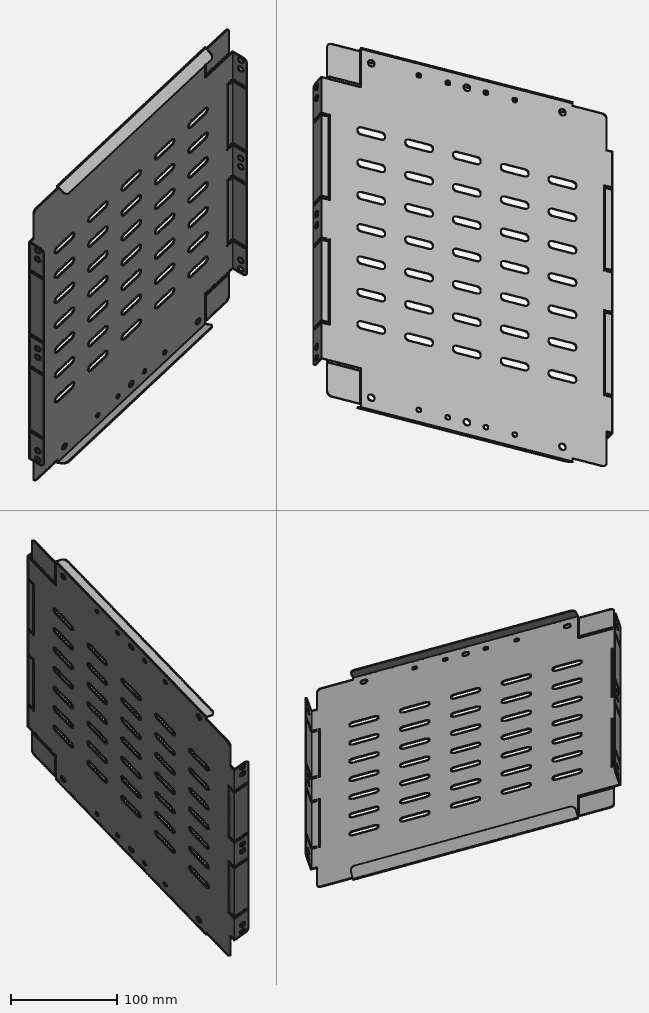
import cadquery as cq
import math

HEIGHT = 399.0
WIDTH = 305.5
DEPTH = 17.5
SHEET = 1.0
CORNER_RADIUS = 4.8

FLANGE_HEIGHT = 311.0
EAR_WIDTH = 293.0
EAR_HEIGHT = 390.0

LIP_WIDTH = 222.0
LIP_REACH = 11.5
LIP_SLOPE = 30

SLOT_COLUMNS = 5
SLOT_ROWS = 7
SLOT_SPAN_Y = 200.3
SLOT_SPAN_Z = 214.5
SLOT_LENGTH = 29.0
SLOT_HEIGHT = 8.0

PLATE_HOLE_Z = 185.0
LARGE_HOLE_DIAMETER = 6.8
LARGE_HOLE_Y = (-100.0, 0, 100.0)
SMALL_HOLE_DIAMETER = 4.8
SMALL_HOLE_Y = (-50.3, -20.0, 20.0, 50.3)

FLANGE_HOLE_X = 10.5
FLANGE_HOLE_DIAMETER = 6.5
FLANGE_HOLE_PITCH = 12.5
FLANGE_PAIR_Z = (-143.5, 3.0, 144.0)

CUT_WIDTH = 2.5
FINE_CUT_WIDTH = 1.0
KNOCKOUT_Z = 69.0
KNOCKOUT_LENGTH = 94.0
KNOCKOUT_INNER_Y = 143.5
KNOCKOUT_BRIDGE = 2.0

EAR_BRIDGE = 2.0
EAR_CUT_WIDTH = 2.8


def box(x_range, y_range, z_range):
    """Axis-aligned block spanning the given (low, high) ranges."""
    lows, highs = zip(x_range, y_range, z_range)
    sizes = [high - low for low, high in zip(lows, highs)]
    return cq.Workplane("XY").box(*sizes, centered=False).translate(lows)


def with_mirror(shape, plane):
    return shape.union(shape.mirror(plane))


def flanged_channel():
    """Middle of the panel: plate with a folded flange on each side."""
    half_width = WIDTH / 2
    half_inside = half_width - SHEET
    z_range = (-FLANGE_HEIGHT / 2, FLANGE_HEIGHT / 2)
    outside = box((0, DEPTH), (-half_width, half_width), z_range)
    inside = box((SHEET, DEPTH), (-half_inside, half_inside), z_range)
    return outside.cut(inside).edges("|Y and >X").fillet(CORNER_RADIUS)


def ears():
    """Narrower plate whose corners stand above and below the flanges."""
    sheet = cq.Workplane("YZ").rect(EAR_WIDTH, EAR_HEIGHT).extrude(SHEET)
    return sheet.edges("|X").fillet(CORNER_RADIUS)


def lip():
    """Top strip of the plate, bent over into a lip that slopes down towards +X."""
    slope = math.radians(LIP_SLOPE)
    offset_x = SHEET * math.sin(slope)
    offset_z = SHEET * math.cos(slope)
    root_z = FLANGE_HEIGHT / 2
    fold_z = HEIGHT / 2 - offset_z
    tip_z = HEIGHT / 2 - (LIP_REACH - offset_x) * math.tan(slope)
    inner_fold_z = fold_z - SHEET * math.tan(slope)
    outline = [
        (0, root_z),
        (0, fold_z),
        (offset_x, HEIGHT / 2),
        (LIP_REACH, tip_z),
        (LIP_REACH - offset_x, tip_z - offset_z),
        (SHEET, inner_fold_z),
        (SHEET, root_z),
    ]
    profile = cq.Workplane("XZ").polyline(outline).close()
    body = profile.extrude(LIP_WIDTH / 2, both=True)
    return body.faces(">X").edges("not |Y").fillet(CORNER_RADIUS)


def ventilation_slots():
    pitch_y = SLOT_SPAN_Y / (SLOT_COLUMNS - 1)
    pitch_z = SLOT_SPAN_Z / (SLOT_ROWS - 1)
    grid = cq.Workplane("YZ").rarray(pitch_y, pitch_z, SLOT_COLUMNS, SLOT_ROWS)
    return grid.slot2D(SLOT_LENGTH, SLOT_HEIGHT).extrude(SHEET)


def plate_holes(y_positions, diameter):
    points = [(y, z) for y in y_positions for z in (-PLATE_HOLE_Z, PLATE_HOLE_Z)]
    return cq.Workplane("YZ").pushPoints(points).circle(diameter / 2).extrude(SHEET)


def flange_holes():
    half_pitch = FLANGE_HOLE_PITCH / 2
    points = [(FLANGE_HOLE_X, z + step) for z in FLANGE_PAIR_Z for step in (-half_pitch, half_pitch)]
    drills = cq.Workplane("XZ").pushPoints(points).circle(FLANGE_HOLE_DIAMETER / 2)
    return drills.extrude(WIDTH / 2, both=True)


def knockout_cuts():
    """Cuts around the flange knock-out on the +Y, +Z side."""
    z_low = KNOCKOUT_Z - KNOCKOUT_LENGTH / 2
    z_high = KNOCKOUT_Z + KNOCKOUT_LENGTH / 2
    fine_cut_end = KNOCKOUT_INNER_Y + FINE_CUT_WIDTH
    cuts = box((0, SHEET), (KNOCKOUT_INNER_Y, fine_cut_end), (z_low, z_high))
    x_range = (0, DEPTH - KNOCKOUT_BRIDGE)
    y_range = (fine_cut_end + KNOCKOUT_BRIDGE, WIDTH / 2)
    for z in (z_low, z_high - CUT_WIDTH):
        cuts = cuts.union(box(x_range, y_range, (z, z + CUT_WIDTH)))
    return cuts


def ear_cuts():
    """L-shaped cut that nearly frees the ear at the +Y, +Z corner."""
    root_z = FLANGE_HEIGHT / 2
    lip_end = LIP_WIDTH / 2
    bridge_y = EAR_WIDTH / 2 - EAR_BRIDGE
    across = box((0, SHEET), (lip_end, bridge_y), (root_z, root_z + EAR_CUT_WIDTH))
    upward = box((0, SHEET), (lip_end, lip_end + FINE_CUT_WIDTH), (root_z, EAR_HEIGHT / 2))
    return across.union(upward)


result = flanged_channel().union(ears()).union(with_mirror(lip(), "XY"))
result = result.cut(ventilation_slots())
result = result.cut(plate_holes(LARGE_HOLE_Y, LARGE_HOLE_DIAMETER))
result = result.cut(plate_holes(SMALL_HOLE_Y, SMALL_HOLE_DIAMETER))
result = result.cut(flange_holes())
result = result.cut(with_mirror(with_mirror(knockout_cuts(), "XY"), "XZ"))
result = result.cut(with_mirror(ear_cuts(), "XY"))